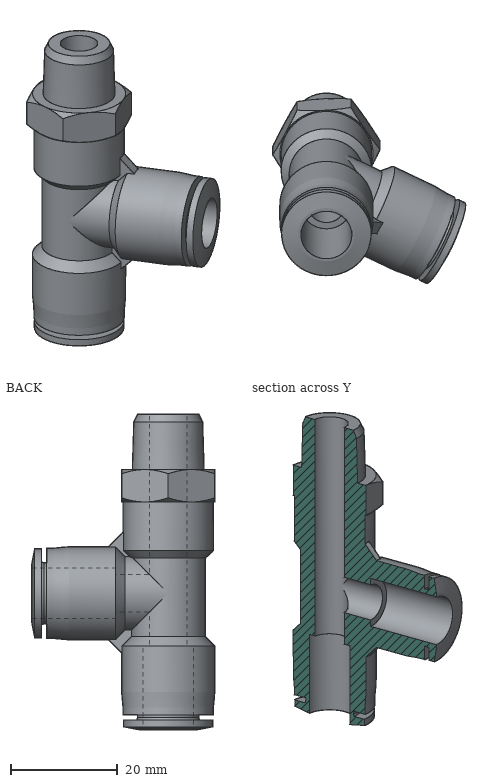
import cadquery as cq
import math

neck_dia = 14.0
bore_dia = 7.0

socket_neck_end = 8.1
socket_shoulder = 9.9
socket_mid = 18.5
socket_step = 21.45
socket_face = 22.8
ring_flare_start = 23.3
ring_start = 23.75
ring_edge = 25.05
socket_end = 25.65
socket_dia = 17.5
socket_lip_dia = 17.0
ring_neck_dia = 11.55
ring_flare_dia = 11.85
ring_dia = 16.8
ring_face_dia = 10.65
tube_dia = 9.55

overall_length = 59.2
stud_top = overall_length - socket_end
sleeve_cone_start = 6.6
sleeve_start = 8.0
hex_bottom = 17.1
hex_top = 23.2
stud_bevel_start = 32.1
sleeve_dia = 17.0
hex_flats = 17.45
hex_corner_dia = hex_flats / math.cos(math.pi / 6)
hex_chamfer_angle = math.radians(30)
stud_base_dia = 13.5
stud_bevel_dia = 12.95
stud_top_dia = 11.55

web_thickness = 2.5
web_leg = 19.95


def revolved(stations):
    """Solid of revolution about Z from (diameter, height) stations."""
    points = [(diameter / 2, height) for diameter, height in stations]
    outline = [(0, points[0][1])] + points + [(0, points[-1][1])]
    return cq.Workplane("XZ").polyline(outline).close().revolve(360, (0, 0), (0, 1))


def along_branch(body):
    """Turn a body built along +Z so that it points along +X."""
    return body.rotate((0, 0, 0), (0, 1, 0), 90)


def along_lower_run(body):
    """Turn a body built along +Z so that it points along -Z."""
    return body.rotate((0, 0, 0), (1, 0, 0), 180)


def socket_body():
    return revolved([
        (neck_dia, 0),
        (neck_dia, socket_neck_end),
        (socket_dia, socket_shoulder),
        (socket_dia, socket_mid),
        (socket_lip_dia, socket_step),
        (socket_lip_dia, socket_face),
        (ring_neck_dia, socket_face),
        (ring_neck_dia, ring_flare_start),
        (ring_flare_dia, ring_start),
        (ring_dia, ring_start),
        (ring_dia, ring_edge),
        (ring_face_dia, socket_end),
    ])


def socket_bore():
    """Tube seat with a narrower passage to the tee centre."""
    return revolved([
        (bore_dia, 0),
        (bore_dia, socket_shoulder),
        (tube_dia, socket_shoulder),
        (tube_dia, socket_end),
    ])


def upper_run():
    return revolved([
        (neck_dia, 0),
        (neck_dia, sleeve_cone_start),
        (sleeve_dia, sleeve_start),
        (sleeve_dia, hex_top),
        (stud_base_dia, hex_top),
        (stud_bevel_dia, stud_bevel_start),
        (stud_top_dia, stud_top),
    ])


def hexagon():
    """Hexagon with flats facing +X and -X and both ends chamfered."""
    height = hex_top - hex_bottom
    prism = (
        cq.Workplane("XY", origin=(0, 0, hex_bottom))
        .polygon(6, hex_corner_dia)
        .extrude(height)
        .rotate((0, 0, 0), (0, 0, 1), 30)
    )
    chamfer_drop = (hex_corner_dia - hex_flats) / 2 * math.tan(hex_chamfer_angle)
    envelope = revolved([
        (hex_flats, hex_bottom),
        (hex_corner_dia, hex_bottom + chamfer_drop),
        (hex_corner_dia, hex_top - chamfer_drop),
        (hex_flats, hex_top),
    ])
    return prism.intersect(envelope)


def corner_webs():
    return (
        cq.Workplane("XZ")
        .polyline([(0, -web_leg), (web_leg, 0), (0, web_leg)])
        .close()
        .extrude(web_thickness / 2, both=True)
    )


body = upper_run().union(hexagon()).union(corner_webs())
for place in (along_branch, along_lower_run):
    body = body.union(place(socket_body()))

stud_bore = revolved([(bore_dia, 0), (bore_dia, stud_top)])
body = body.cut(stud_bore)
for place in (along_branch, along_lower_run):
    body = body.cut(place(socket_bore()))

result = body